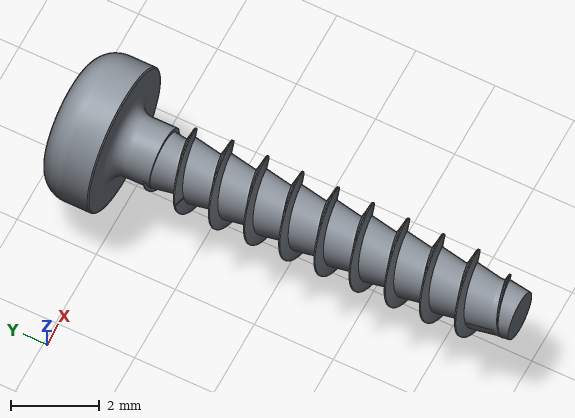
import cadquery as cq
import math


head_radius = 1.8
head_height = 1.4
dome_radius = 0.7
head_edge_chamfer = 0.03

screw_length = 10.0
neck_radius = 0.745
neck_length = 1.0
neck_fillet_radius = 0.35
core_radius = 0.61
collar_radius = 0.72
tip_radius = 0.585
tip_taper_start_z = 9.0

pitch = 0.89
crest_radius = 1.0
crest_width = 0.03
flank_half_angle = 15.0
run_in_radius = 0.80
run_out_radius = 0.60
full_turns = 8
end_land_turns = 2
thread_start_angle = 180
run_in_start_z = 0.882
full_thread_start_z = run_in_start_z + pitch
run_out_start_z = full_thread_start_z + full_turns * pitch

buried_radius = 0.5
tooth_foot_radius = 0.55
land_gap = 0.01
land_dip = 0.005


def make_head_and_neck():
    """Revolve the domed head and the filleted neck."""
    profile = (
        cq.Workplane("XZ")
        .moveTo(0, -head_height)
        .lineTo(head_radius - dome_radius, -head_height)
        .radiusArc((head_radius, dome_radius - head_height), -dome_radius)
        .lineTo(head_radius, -head_edge_chamfer)
        .lineTo(head_radius - head_edge_chamfer, 0)
        .lineTo(neck_radius + neck_fillet_radius, 0)
        .radiusArc((neck_radius, neck_fillet_radius), neck_fillet_radius)
        .lineTo(neck_radius, neck_length)
        .lineTo(0, neck_length)
        .close()
    )
    return profile.revolve(360, (0, 0, 0), (0, 1, 0))


def tooth_half_width(radius):
    """Half the axial width of a full-height thread tooth at a given radius."""
    return crest_width / 2 + (crest_radius - radius) * math.tan(math.radians(flank_half_angle))


def sweep_along_path(section, helix, start_z, start_radius):
    """Sweep (radius, axial offset) points along a helix whose crest begins at start_radius."""
    sunk = crest_radius - start_radius
    points = [(radius - sunk, start_z + offset) for radius, offset in section]
    solid = cq.Workplane("XZ").polyline(points).close().sweep(cq.Workplane(helix), isFrenet=True)
    return solid.rotate((0, 0, 0), (0, 0, 1), thread_start_angle)


def sweep_along_cylinder(section, start_z, turns):
    """Sweep a section along a helix of constant crest radius."""
    helix = cq.Wire.makeHelix(pitch, turns * pitch, crest_radius, cq.Vector(0, 0, start_z))
    return sweep_along_path(section, helix, start_z, crest_radius)


def sweep_along_cone(section, start_z, start_radius, end_radius):
    """Sweep a section through one turn while its crest changes radius."""
    cone_angle = math.atan((end_radius - start_radius) / pitch)
    slant_pitch = pitch / math.cos(cone_angle)
    helix = cq.Wire.makeHelix(
        slant_pitch,
        slant_pitch,
        start_radius,
        cq.Vector(0, 0, start_z),
        angle=math.degrees(cone_angle),
    )
    return sweep_along_path(section, helix, start_z, start_radius)


def land_end_points():
    """End of the tapered land, running down beside the flank of the next tooth."""
    end_radius = core_radius - land_dip
    return [
        (radius, pitch - land_gap - tooth_half_width(radius))
        for radius in (end_radius, buried_radius)
    ]


def make_full_thread():
    """The full-height tooth together with the tapered land behind it."""
    section = [
        (buried_radius, -tooth_half_width(buried_radius)),
        (crest_radius, -tooth_half_width(crest_radius)),
        (crest_radius, tooth_half_width(crest_radius)),
        (collar_radius, tooth_half_width(collar_radius)),
    ]
    return sweep_along_cylinder(section + land_end_points(), full_thread_start_z, full_turns)


def make_end_land(start_z):
    """The tapered land alone, for the turns where the tooth is not full height."""
    section = [
        (buried_radius, 0),
        (collar_radius, 0),
        (collar_radius, tooth_half_width(collar_radius)),
    ]
    return sweep_along_cylinder(section + land_end_points(), start_z, end_land_turns)


def make_end_tooth(start_z, start_radius, end_radius):
    """One turn of tooth whose crest rises out of the core or sinks into it."""
    foot_half_width = tooth_half_width(tooth_foot_radius)
    section = [
        (tooth_foot_radius, -foot_half_width),
        (crest_radius, -tooth_half_width(crest_radius)),
        (crest_radius, tooth_half_width(crest_radius)),
        (tooth_foot_radius, foot_half_width),
    ]
    return sweep_along_cone(section, start_z, start_radius, end_radius)


def make_tip_trimmer():
    """Solid of revolution to cut away: everything outside the conical tip."""
    end_z = run_out_start_z + (end_land_turns + 1) * pitch
    outline = [
        (0, screw_length),
        (tip_radius, screw_length),
        (collar_radius, tip_taper_start_z),
        (head_radius, tip_taper_start_z),
        (head_radius, end_z),
        (0, end_z),
    ]
    profile = cq.Workplane("XZ").polyline(outline).close()
    return profile.revolve(360, (0, 0, 0), (0, 1, 0))


def make_threaded_shank():
    """Assemble the core, trim it to the tip and add the two fading teeth."""
    shank = cq.Workplane("XY").circle(core_radius).extrude(screw_length + pitch)
    shank = shank.union(make_end_land(run_in_start_z - pitch))
    shank = shank.union(make_end_land(run_out_start_z))
    shank = shank.cut(make_tip_trimmer())
    shank = shank.union(make_full_thread())
    shank = shank.union(make_end_tooth(run_in_start_z, run_in_radius, crest_radius))
    return shank.union(make_end_tooth(run_out_start_z, crest_radius, run_out_radius))


screw = make_threaded_shank().union(make_head_and_neck())
result = screw.rotate((0, 0, 0), (1, 0, 0), 90)